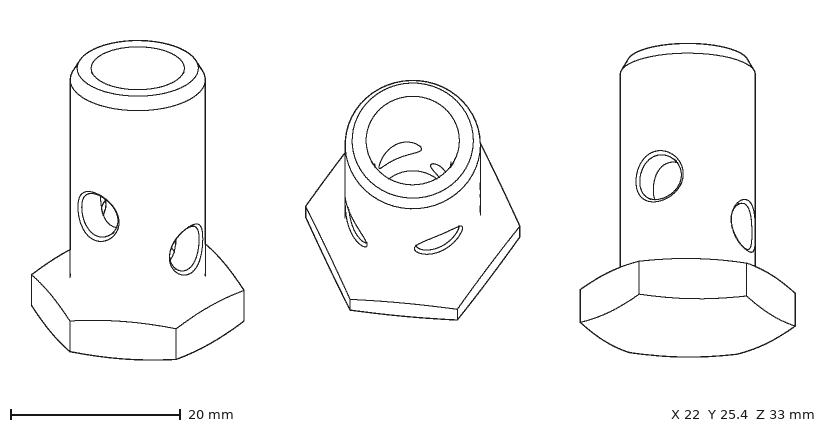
import cadquery as cq
import math

head_across_flats = 22.0
head_height = 5.0
head_chamfer_angle = 15.0

total_height = 33.0
shank_diameter = 15.96
shank_end_diameter = 14.3
shank_end_chamfer_length = 1.5
root_fillet = 0.2

mouth_diameter = 11.0
taper_length = 8.0
bore_diameter = 9.0
bore_floor_height = 8.0
drill_point_angle = 118.0

cross_hole_diameter = 5.5
cross_hole_edge_chamfer = 0.4
lower_hole_height = 11.5
upper_hole_height = 16.5
edge_search_margin = 0.05

shank_radius = shank_diameter / 2
cross_hole_radius = cross_hole_diameter / 2


def revolve_about_z(outline):
    """Turn a closed outline in the XZ plane into a solid around Z."""
    return outline.close().revolve(360, (0, 0, 0), (0, 1, 0))


def make_head():
    """Hexagon with two corners on the Y axis, all corners chamfered at both ends."""
    flat_radius = head_across_flats / 2
    corner_radius = flat_radius / math.cos(math.pi / 6)
    corner_drop = (corner_radius - flat_radius) * math.tan(math.radians(head_chamfer_angle))
    hexagon = (
        cq.Workplane("XY")
        .polygon(6, 2 * corner_radius)
        .extrude(head_height)
        .rotate((0, 0, 0), (0, 0, 1), 30)
    )
    turned_envelope = revolve_about_z(
        cq.Workplane("XZ").polyline([
            (0, 0),
            (flat_radius, 0),
            (corner_radius, corner_drop),
            (corner_radius, head_height - corner_drop),
            (flat_radius, head_height),
            (0, head_height),
        ])
    )
    return hexagon.intersect(turned_envelope)


def make_shank():
    """Cylinder with a chamfered free end and a concave fillet where it meets the head."""
    arc_offset = root_fillet * (1 - math.sqrt(0.5))
    return revolve_about_z(
        cq.Workplane("XZ")
        .lineTo(shank_radius + root_fillet, 0)
        .lineTo(shank_radius + root_fillet, head_height)
        .threePointArc(
            (shank_radius + arc_offset, head_height + arc_offset),
            (shank_radius, head_height + root_fillet),
        )
        .lineTo(shank_radius, total_height - shank_end_chamfer_length)
        .lineTo(shank_end_diameter / 2, total_height)
        .lineTo(0, total_height)
    )


def make_bore():
    """Tapered mouth, straight bore and conical drill point, as a solid to cut away."""
    bore_radius = bore_diameter / 2
    drill_point_length = bore_radius / math.tan(math.radians(drill_point_angle / 2))
    return revolve_about_z(
        cq.Workplane("XZ").polyline([
            (0, bore_floor_height - drill_point_length),
            (bore_radius, bore_floor_height),
            (bore_radius, total_height - taper_length),
            (mouth_diameter / 2, total_height),
            (0, total_height),
        ])
    )


def drill_cross_hole(body, plane_name, height):
    """Drill through both shank walls along the normal of a plane and chamfer the outer edges."""
    plane = cq.Plane.named(plane_name, origin=(0, 0, height))
    drill = (
        cq.Workplane(plane)
        .circle(cross_hole_radius)
        .extrude(shank_diameter, both=True)
    )
    drilled = body.cut(drill)
    search_reach = cross_hole_radius + edge_search_margin
    margin = cq.Vector(search_reach, search_reach, search_reach)
    for side in (1, -1):
        mouth = plane.origin + plane.zDir * (side * shank_radius)
        around_mouth = cq.selectors.BoxSelector(
            (mouth - margin).toTuple(),
            (mouth + margin).toTuple(),
            boundingbox=True,
        )
        drilled = drilled.edges(around_mouth).chamfer(cross_hole_edge_chamfer)
    return drilled


body = make_head().union(make_shank()).cut(make_bore())
body = drill_cross_hole(body, "YZ", lower_hole_height)
body = drill_cross_hole(body, "XZ", upper_hole_height)
result = body